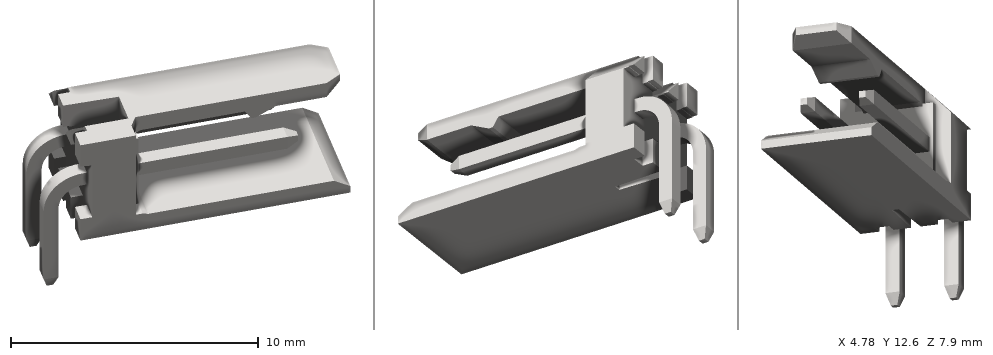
import cadquery as cq


pitch = 2.54
body_width = 4.78
body_height = 5.0
body_length = 11.3
half_width = body_width / 2
wall_front = 2.32
foot_depth = 0.5
foot_height = (body_width - pitch) / 2
foot_lip_depth = 0.25
foot_lip_height = 0.035

pad_front = 2.61
pad_half_width = 1.74
root_ramp_length = 0.23
root_height = 0.84

arm_width = pitch
arm_half_width = arm_width / 2
arm_thickness = 0.73
floor_thickness = 0.77
tip_thickness = 0.34
tip_length = 0.68
tip_side_bevel = 0.4
barb_front = 8.5
barb_crest_front = 7.66
barb_crest_rear = 7.47
barb_rear = 7.2
barb_depth = 0.41
gusset_width = pad_half_width - arm_half_width

slot_depth = 1.7
slot_rear_width = 0.42
slot_front_width = 0.3

pin_size = 0.62
pin_height = body_height / 2
pin_front = 9.39
pin_bottom = -2.9
pin_rear = -1.31
pin_taper = 0.5
pin_tip_size = 0.28
bend_outer_radius = 1.62
bend_inner_radius = bend_outer_radius - pin_size
pin_positions = [-pitch / 2, pitch / 2]


def box(x_range, y_range, z_range):
    """Axis-aligned box between the given limits."""
    size = [limits[1] - limits[0] for limits in (x_range, y_range, z_range)]
    corner = (x_range[0], y_range[0], z_range[0])
    return cq.Workplane("XY").box(*size, centered=False).translate(corner)


def side_profile(points, half_thickness):
    """Prism centred on X = 0 from (Y, Z) points."""
    return cq.Workplane("YZ").polyline(points).close().extrude(half_thickness, both=True)


def make_floor():
    return side_profile(
        [
            (0, 0),
            (body_length, 0),
            (body_length, tip_thickness),
            (body_length - tip_length, floor_thickness),
            (pad_front + root_ramp_length, floor_thickness),
            (pad_front, root_height),
            (0, root_height),
        ],
        half_width,
    )


def make_arm():
    underside = body_height - arm_thickness
    arm = side_profile(
        [
            (wall_front, body_height),
            (body_length, body_height),
            (body_length, body_height - tip_thickness),
            (body_length - tip_length, underside),
            (barb_front, underside),
            (barb_crest_front, underside - barb_depth),
            (barb_crest_rear, underside - barb_depth),
            (barb_rear, underside),
            (pad_front + root_ramp_length, underside),
            (pad_front, body_height - root_height),
            (wall_front, body_height - root_height),
        ],
        arm_half_width,
    )
    outline = (
        cq.Workplane("XY")
        .polyline(
            [
                (-arm_half_width, wall_front),
                (arm_half_width, wall_front),
                (arm_half_width, body_length - tip_length),
                (arm_half_width - tip_side_bevel, body_length),
                (tip_side_bevel - arm_half_width, body_length),
                (-arm_half_width, body_length - tip_length),
            ]
        )
        .close()
        .extrude(body_height)
    )
    return arm.intersect(outline)


def make_gusset():
    """Triangular web joining the arm to the unbevelled end of the wall."""
    return (
        cq.Workplane("XY", origin=(0, 0, body_height - arm_thickness))
        .polyline(
            [
                (arm_half_width, wall_front),
                (arm_half_width + gusset_width, wall_front),
                (arm_half_width, pad_front),
            ]
        )
        .close()
        .extrude(arm_thickness)
    )


def make_feet():
    """Rear standoff strips along the top and bottom, with a lip under the top one."""
    x_range = (-half_width, half_width)
    foot_top = body_height - foot_height
    bottom = box(x_range, (0, foot_depth), (0, foot_height))
    top = box(x_range, (0, foot_depth), (foot_top, body_height))
    lip = box(x_range, (foot_depth - foot_lip_depth, foot_depth), (foot_top - foot_lip_height, foot_top))
    return bottom.union(top).union(lip)


def make_slot(z_range):
    """Centre slot that narrows toward the front of the wall."""
    return (
        cq.Workplane("XY", origin=(0, 0, z_range[0]))
        .polyline(
            [
                (-slot_rear_width / 2, 0),
                (slot_rear_width / 2, 0),
                (slot_front_width / 2, wall_front),
                (-slot_front_width / 2, wall_front),
            ]
        )
        .close()
        .extrude(z_range[1] - z_range[0])
    )


def make_bevel(pin_x):
    """45 degree notch in the top of the wall, ending above the pin."""
    left = pin_x - foot_height
    return (
        cq.Workplane("XZ")
        .polyline(
            [
                (pin_x, body_height),
                (left, body_height - foot_height),
                (left, body_height),
            ]
        )
        .close()
        .extrude(-wall_front)
    )


def make_housing():
    housing = box((-half_width, half_width), (foot_depth, wall_front), (0, body_height))
    pad = box(
        (-pad_half_width, pad_half_width),
        (wall_front, pad_front),
        (0, body_height - arm_thickness),
    )
    for feature in (pad, make_floor(), make_arm(), make_gusset(), make_feet()):
        housing = housing.union(feature)
    housing = housing.cut(make_slot((0, slot_depth)))
    housing = housing.cut(make_slot((body_height - slot_depth, body_height)))
    for pin_x in pin_positions:
        pin_range = (pin_x - pin_size / 2, pin_x + pin_size / 2)
        housing = housing.cut(box(pin_range, (0, foot_depth), (0, body_height)))
        housing = housing.cut(make_bevel(pin_x))
    return housing


def make_pin_tip(plane):
    """Square taper starting on the given plane."""
    return (
        cq.Workplane(plane)
        .rect(pin_size, pin_size)
        .workplane(offset=pin_taper)
        .rect(pin_tip_size, pin_tip_size)
        .loft()
    )


def make_pin(pin_x):
    half_size = pin_size / 2
    bend_y = pin_rear + bend_outer_radius
    bend_z = pin_height + half_size - bend_outer_radius
    diagonal = 0.5**0.5
    outer_mid = (bend_y - bend_outer_radius * diagonal, bend_z + bend_outer_radius * diagonal)
    inner_mid = (bend_y - bend_inner_radius * diagonal, bend_z + bend_inner_radius * diagonal)
    taper_y = pin_front - pin_taper
    taper_z = pin_bottom + pin_taper
    shank = (
        cq.Workplane("YZ")
        .moveTo(taper_y, pin_height + half_size)
        .lineTo(bend_y, pin_height + half_size)
        .threePointArc(outer_mid, (pin_rear, bend_z))
        .lineTo(pin_rear, taper_z)
        .lineTo(pin_rear + pin_size, taper_z)
        .lineTo(pin_rear + pin_size, bend_z)
        .threePointArc(inner_mid, (bend_y, pin_height - half_size))
        .lineTo(taper_y, pin_height - half_size)
        .close()
        .extrude(half_size, both=True)
    )
    front_tip = make_pin_tip(cq.Plane((0, taper_y, pin_height), (1, 0, 0), (0, 1, 0)))
    bottom_tip = make_pin_tip(cq.Plane((0, pin_rear + half_size, taper_z), (1, 0, 0), (0, 0, -1)))
    return shank.union(front_tip).union(bottom_tip).translate((pin_x, 0, 0))


result = make_housing()
for pin_x in pin_positions:
    result = result.union(make_pin(pin_x))